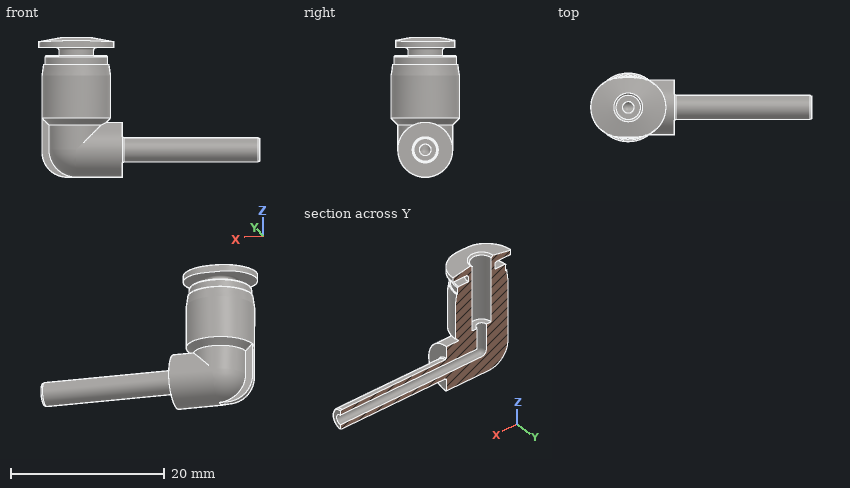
import cadquery as cq


elbow_radius = 7.2 / 2
elbow_face_x = 6.0
passage_radius = 1.5 / 2

total_length = 28.9
stem_radius = 3.18 / 2
stem_root_radius = 1.7
stem_root_length = 0.23
stem_tip_chamfer_length = 0.25
stem_tip_chamfer_depth = 0.12

body_radius = 9.0 / 2
body_bottom_z = 4.13
body_cone_height = body_radius - elbow_radius
taper_start_z = 9.7
taper_top_radius = 4.28
collar_radius = 8.2 / 2
collar_bottom_z = 11.18
collar_top_z = 12.3
collar_chamfer = 0.15

total_height = 18.3
button_top_z = total_height - elbow_radius
button_rim_z = 14.15
button_cone_radius = 4.75
button_underside_z = 13.35
button_length = 9.83
button_width = 7.77
neck_radius = 4.57 / 2
neck_fillet = 0.35
tube_bore_radius = 3.18 / 2
bore_mouth_radius = 1.88
bore_mouth_depth = bore_mouth_radius - tube_bore_radius
tube_bore_floor_z = body_bottom_z

rib_thickness = 0.95
rib_corner_radius = 3.32

stem_tip_x = total_length - button_length / 2


def elbow_shape(radius, top_z, end_x):
    """Vertical and horizontal cylinders joined by a ball at the corner."""
    vertical = cq.Workplane("XY").circle(radius).extrude(top_z)
    horizontal = cq.Workplane("YZ").circle(radius).extrude(end_x)
    ball = cq.Workplane("XY").sphere(radius)
    return vertical.union(horizontal).union(ball)


def make_body():
    """Turned socket housing with the neck of the release button."""
    neck_fillet_z = button_underside_z - neck_fillet
    return (
        cq.Workplane("XZ")
        .moveTo(0, body_bottom_z - body_cone_height)
        .lineTo(elbow_radius, body_bottom_z - body_cone_height)
        .lineTo(body_radius, body_bottom_z)
        .lineTo(body_radius, taper_start_z)
        .lineTo(taper_top_radius, collar_bottom_z)
        .lineTo(collar_radius, collar_bottom_z)
        .lineTo(collar_radius, collar_top_z - collar_chamfer)
        .lineTo(collar_radius - collar_chamfer, collar_top_z)
        .lineTo(neck_radius, collar_top_z)
        .lineTo(neck_radius, neck_fillet_z)
        .radiusArc((neck_radius + neck_fillet, button_underside_z), neck_fillet)
        .lineTo(0, button_underside_z)
        .close()
        .revolve(360, (0, 0), (0, 1))
    )


def make_button():
    """Oblong button head with a shallow conical top and a narrow flat rim at its ends."""
    oblong = (
        cq.Workplane("XY", origin=(0, 0, button_underside_z))
        .slot2D(button_length, button_width)
        .extrude(button_top_z - button_underside_z)
    )
    cone = (
        cq.Workplane("XZ")
        .moveTo(0, button_underside_z)
        .lineTo(button_length / 2, button_underside_z)
        .lineTo(button_length / 2, button_rim_z)
        .lineTo(button_cone_radius, button_rim_z)
        .lineTo(bore_mouth_radius, button_top_z)
        .lineTo(0, button_top_z)
        .close()
        .revolve(360, (0, 0), (0, 1))
    )
    return oblong.intersect(cone)


def make_stem():
    """Round stem with a flared root and a chamfered tip."""
    return (
        cq.Workplane("XZ")
        .moveTo(0, 0)
        .lineTo(0, stem_root_radius)
        .lineTo(elbow_face_x, stem_root_radius)
        .lineTo(elbow_face_x + stem_root_length, stem_radius)
        .lineTo(stem_tip_x - stem_tip_chamfer_length, stem_radius)
        .lineTo(stem_tip_x, stem_radius - stem_tip_chamfer_depth)
        .lineTo(stem_tip_x, 0)
        .close()
        .revolve(360, (0, 0), (1, 0))
    )


def make_rib():
    """Flat rib wrapping the back of the elbow, flush with the body."""
    arc_center_x = rib_corner_radius - body_radius
    arc_center_z = rib_corner_radius - elbow_radius
    return (
        cq.Workplane("XZ")
        .moveTo(0, body_bottom_z)
        .lineTo(-body_radius, body_bottom_z)
        .lineTo(-body_radius, arc_center_z)
        .radiusArc((arc_center_x, -elbow_radius), -rib_corner_radius)
        .lineTo(0, -elbow_radius)
        .close()
        .extrude(rib_thickness / 2, both=True)
    )


def make_tube_bore():
    """Tube socket with a chamfered mouth."""
    return (
        cq.Workplane("XZ")
        .moveTo(0, tube_bore_floor_z)
        .lineTo(tube_bore_radius, tube_bore_floor_z)
        .lineTo(tube_bore_radius, button_top_z - bore_mouth_depth)
        .lineTo(bore_mouth_radius, button_top_z)
        .lineTo(0, button_top_z)
        .close()
        .revolve(360, (0, 0), (0, 1))
    )


outside = (
    elbow_shape(elbow_radius, body_bottom_z, elbow_face_x)
    .union(make_body())
    .union(make_button())
    .union(make_stem())
    .union(make_rib())
)
passage = elbow_shape(passage_radius, tube_bore_floor_z, stem_tip_x)
result = outside.cut(passage).cut(make_tube_bore())